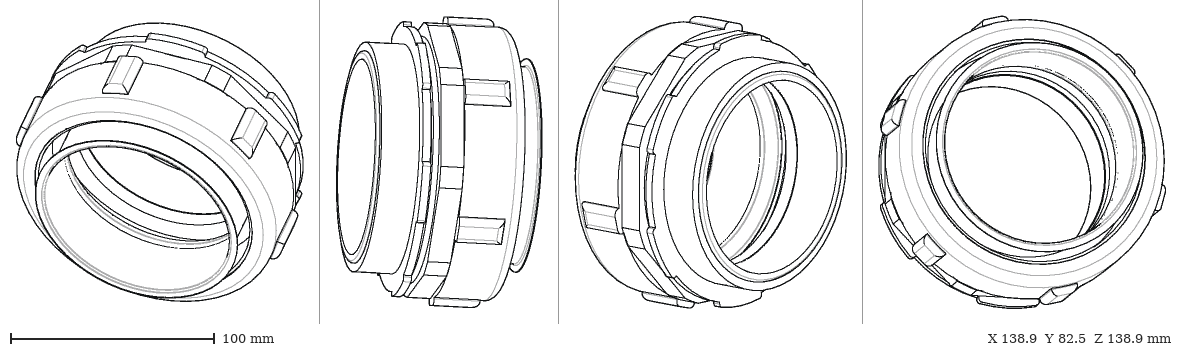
import cadquery as cq
import math


thread_dia = 113.0
thread_length = 28.0
flange_side_count = 8
flange_across_flats = 128.6
flange_corner_dia = 135.2
flange_thickness = 11.5
body_bore_dia = 97.0
chamber_dia = 117.3
chamber_floor_y = -4.5
nose_dia = 120.0

gasket_dia = 121.6
gasket_thickness = 3.0

locknut_rear_y = 9.0
locknut_thickness = 4.0
locknut_dia = 130.4
lug_tip_dia = 135.3
lug_width = 30.8
lug_corner_radius = 2.0
lug_count = 6
first_lug_angle = 30.0

bush_head_dia = 104.5
bush_head_thickness = 1.5
bush_edge_radius = 1.25
bush_shank_dia = 101.0
bush_bore_dia = 96.0
bush_front_y = 3.0

cap_dia = 134.6
cap_length = 31.0
cap_edge_radius = 5.0
cap_lip_bore_dia = 113.0
cap_lip_thickness = 1.0
rib_count = 6
first_rib_angle = 45.0
rib_width = 13.5
rib_length = 23.0
rib_top_radius = 70.865
rib_edge_radius = 3.25
rib_root_depth = 3.0

cup_bore_dia = 110.0
cup_wall_end_y = -20.3
cup_groove_radius = 5.0
cup_groove_centre_dia = 105.0

sleeve_bore_dia = 96.0
sleeve_wall = 0.5
sleeve_front_rim_dia = 105.0
sleeve_front_bend_radius = 0.75
sleeve_rear_rim_dia = 111.0
sleeve_rear_bend_radius = 4.5
sleeve_front_y = -53.0
sleeve_rear_y = -13.6

thread_rear_y = thread_length
bush_rear_y = thread_rear_y + bush_head_thickness
flange_front_y = -flange_thickness
cap_front_y = flange_front_y - cap_length
cap_lip_rear_y = cap_front_y + cap_lip_thickness
cup_rear_y = sleeve_rear_y - sleeve_wall
sleeve_dia = sleeve_bore_dia + 2 * sleeve_wall


def ring(outer_dia, inner_dia, front_y, rear_y):
    """Plain ring around the Y axis."""
    return (
        cq.Workplane("XZ", origin=(0, rear_y, 0))
        .circle(outer_dia / 2)
        .circle(inner_dia / 2)
        .extrude(rear_y - front_y)
    )


def disc(dia, front_y, rear_y):
    """Plain disc around the Y axis."""
    return cq.Workplane("XZ", origin=(0, rear_y, 0)).circle(dia / 2).extrude(rear_y - front_y)


def around_axis(shape, angle):
    """Turn a shape that points along +X so that it points at an angle from +X toward +Z."""
    return shape.rotate((0, 0, 0), (0, 1, 0), -angle)


def make_body():
    flange = (
        cq.Workplane("XZ")
        .polygon(flange_side_count, flange_across_flats, circumscribed=True)
        .extrude(flange_thickness)
        .intersect(disc(flange_corner_dia, flange_front_y, 0))
    )
    return (
        flange.union(disc(thread_dia, 0, thread_rear_y))
        .union(disc(nose_dia, cap_lip_rear_y, flange_front_y))
        .cut(disc(body_bore_dia, chamber_floor_y, bush_front_y))
        .cut(disc(bush_shank_dia, bush_front_y, thread_rear_y))
        .cut(disc(chamber_dia, cap_lip_rear_y, chamber_floor_y))
    )


def make_gasket():
    return ring(gasket_dia, thread_dia, 0, gasket_thickness)


def make_locknut():
    front_y = locknut_rear_y - locknut_thickness
    blank = disc(locknut_dia, front_y, locknut_rear_y)
    lug_tip_x = math.sqrt((lug_tip_dia / 2) ** 2 - (lug_width / 2) ** 2)
    lug = (
        cq.Workplane("XZ", origin=(0, locknut_rear_y, 0))
        .moveTo(0, -lug_width / 2)
        .lineTo(lug_tip_x, -lug_width / 2)
        .threePointArc((lug_tip_dia / 2, 0), (lug_tip_x, lug_width / 2))
        .lineTo(0, lug_width / 2)
        .close()
        .extrude(locknut_thickness)
        .edges("|Y")
        .edges(">X")
        .fillet(lug_corner_radius)
    )
    for i in range(lug_count):
        blank = blank.union(around_axis(lug, first_lug_angle + i * 360 / lug_count))
    return blank.cut(disc(thread_dia, front_y, locknut_rear_y))


def make_bush():
    head = (
        disc(bush_head_dia, thread_rear_y, bush_rear_y)
        .faces(">Y")
        .edges()
        .fillet(bush_edge_radius)
    )
    shank = disc(bush_shank_dia, bush_front_y, thread_rear_y)
    bore = disc(bush_bore_dia, bush_front_y, bush_rear_y)
    return head.union(shank).cut(bore)


def make_cap_nut():
    shell = disc(cap_dia, cap_front_y, flange_front_y).faces("<Y").edges().fillet(cap_edge_radius)
    rib_root_x = cap_dia / 2 - rib_root_depth
    rib = (
        cq.Workplane("XY")
        .box(rib_top_radius - rib_root_x, rib_length, rib_width, centered=(False, False, True))
        .translate((rib_root_x, flange_front_y - rib_length, 0))
        .edges("(>X and |Y) or (>X and <Y)")
        .fillet(rib_edge_radius)
    )
    for i in range(rib_count):
        shell = shell.union(around_axis(rib, first_rib_angle + i * 360 / rib_count))
    lip_bore = disc(cap_lip_bore_dia, cap_front_y, cap_lip_rear_y)
    main_bore = disc(nose_dia, cap_lip_rear_y, flange_front_y)
    return shell.cut(lip_bore).cut(main_bore)


def make_seal_cup():
    """Deep cup around the sleeve. Its floor is a round groove from the hole to the wall."""
    outer_radius = chamber_dia / 2
    bore_radius = cup_bore_dia / 2
    hole_radius = sleeve_dia / 2
    groove_radius = cup_groove_centre_dia / 2
    wall_offset = bore_radius - groove_radius
    hole_offset = groove_radius - hole_radius
    groove_centre_y = cup_wall_end_y - math.sqrt(cup_groove_radius**2 - wall_offset**2)
    groove_hole_y = groove_centre_y + math.sqrt(cup_groove_radius**2 - hole_offset**2)
    groove_bottom = (groove_radius, groove_centre_y + cup_groove_radius)
    rear_bend_y = cup_rear_y - sleeve_rear_bend_radius
    return (
        cq.Workplane("XY")
        .moveTo(outer_radius, cap_lip_rear_y)
        .lineTo(outer_radius, cup_rear_y)
        .lineTo(hole_radius + sleeve_rear_bend_radius, cup_rear_y)
        .radiusArc((hole_radius, rear_bend_y), -sleeve_rear_bend_radius)
        .lineTo(hole_radius, groove_hole_y)
        .threePointArc(groove_bottom, (bore_radius, cup_wall_end_y))
        .lineTo(bore_radius, cap_lip_rear_y)
        .close()
        .revolve(360, (0, 0, 0), (0, 1, 0))
    )


def make_sleeve():
    """Thin tube whose wall bends outward into a flat rim at both ends."""
    bore_radius = sleeve_bore_dia / 2
    tube_radius = sleeve_dia / 2
    front_rim_radius = sleeve_front_rim_dia / 2
    front_rim_rear_y = sleeve_front_y + sleeve_wall
    front_bend_radius = tube_radius + sleeve_front_bend_radius
    front_bend_y = front_rim_rear_y + sleeve_front_bend_radius
    rear_rim_radius = sleeve_rear_rim_dia / 2
    rear_bend_radius = tube_radius + sleeve_rear_bend_radius
    rear_bend_y = cup_rear_y - sleeve_rear_bend_radius
    return (
        cq.Workplane("XY")
        .moveTo(front_rim_radius, sleeve_front_y)
        .lineTo(front_rim_radius, front_rim_rear_y)
        .lineTo(front_bend_radius, front_rim_rear_y)
        .radiusArc((tube_radius, front_bend_y), sleeve_front_bend_radius)
        .lineTo(tube_radius, rear_bend_y)
        .radiusArc((rear_bend_radius, cup_rear_y), sleeve_rear_bend_radius)
        .lineTo(rear_rim_radius, cup_rear_y)
        .lineTo(rear_rim_radius, sleeve_rear_y)
        .lineTo(rear_bend_radius, sleeve_rear_y)
        .radiusArc((bore_radius, rear_bend_y), -(sleeve_rear_bend_radius + sleeve_wall))
        .lineTo(bore_radius, front_bend_y)
        .radiusArc((front_bend_radius, sleeve_front_y), -(sleeve_front_bend_radius + sleeve_wall))
        .close()
        .revolve(360, (0, 0, 0), (0, 1, 0))
    )


bodies = [
    make_body(),
    make_gasket(),
    make_locknut(),
    make_bush(),
    make_cap_nut(),
    make_seal_cup(),
    make_sleeve(),
]
result = cq.Compound.makeCompound([body.val() for body in bodies])